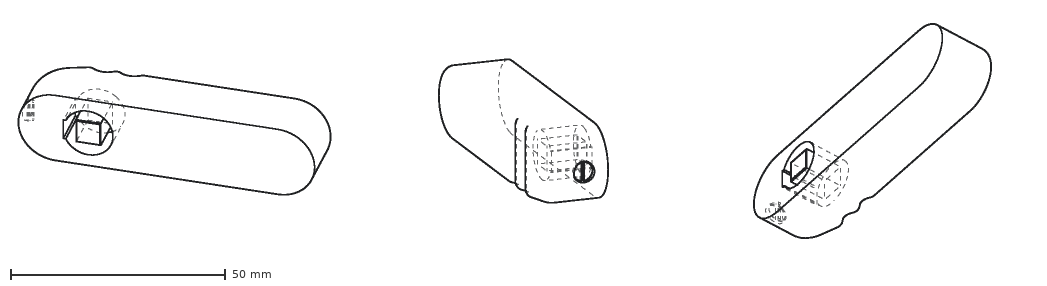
import cadquery as cq
import math

length = 72.0
depth = 15.5
height = 18.0
edge_radius = 2.0

first_crest_x = 13.3
crest_pitch = 6.55
scallop_count = 2
crest_radius = 2.05
scallop_radius = 3.5
slope_angle = math.radians(19.2)

socket_x = 17.0
socket_diameter = 12.0
socket_depth = 10.1
notch_left_x = 10.95
notch_height = 5.1
post_side = 6.05
post_chamfer = 0.2

screw_y = 6.0
screw_diameter = 5.1
screw_chamfer = 0.2
screw_hole_depth = 1.0
slot_width = 0.7
slot_depth = 1.0


def polar(center, radius, angle):
    """Point at the given angle (radians) on a circle."""
    return (center[0] + radius * math.cos(angle), center[1] + radius * math.sin(angle))


def back_profile():
    """XY outline with the sloped nose, scallops and flat back."""
    crest_y = depth - crest_radius
    crests = [(first_crest_x + i * crest_pitch, crest_y) for i in range(scallop_count + 1)]
    lean = math.acos(crest_pitch / 2 / (crest_radius + scallop_radius))
    up = math.pi / 2
    slope_end = polar(crests[0], crest_radius, up + slope_angle)
    nose_y = slope_end[1] - slope_end[0] * math.tan(slope_angle)

    outline = cq.Workplane("XY").moveTo(0, 0).lineTo(0, nose_y).lineTo(*slope_end)
    for left, right in zip(crests, crests[1:]):
        scallop_center = polar(left, crest_radius + scallop_radius, lean)
        outline = (
            outline
            .threePointArc(polar(left, crest_radius, up), polar(left, crest_radius, lean))
            .threePointArc(
                polar(scallop_center, scallop_radius, -up),
                polar(right, crest_radius, math.pi - lean),
            )
        )
    last = crests[-1]
    crest_middle = polar(last, crest_radius, (3 * up - lean) / 2)
    return (
        outline
        .threePointArc(crest_middle, polar(last, crest_radius, up))
        .lineTo(length, depth)
        .lineTo(length, 0)
        .close()
    )


def body():
    """Stadium-ended bar with its whole back edge rounded."""
    shaped = back_profile().extrude(height / 2, both=True)
    stadium = cq.Workplane("XZ").center(length / 2, 0).slot2D(length, height).extrude(-depth)
    bar = shaped.intersect(stadium)
    back_faces = [
        face for face in bar.faces().vals()
        if face.normalAt(face.Center()).y > math.sin(slope_angle)
    ]
    rim = [
        edge for edge in bar.edges().vals()
        if sum(any(edge.isSame(e) for e in face.Edges()) for face in back_faces) == 1
    ]
    return bar.newObject(rim).fillet(edge_radius)


def socket():
    """Round recess with a side notch, around a square drive post."""
    front = cq.Workplane("XZ").center(socket_x, 0)
    notch_width = socket_x - notch_left_x
    recess = front.circle(socket_diameter / 2).extrude(-socket_depth)
    notch = (
        front.center(-notch_width / 2, 0)
        .rect(notch_width, notch_height)
        .extrude(-socket_depth)
    )
    post = (
        front.rect(post_side, post_side)
        .extrude(-socket_depth)
        .faces("<Y").edges().chamfer(post_chamfer)
    )
    return recess.union(notch).cut(post)


def screw_recess():
    """Blind hole along X whose floor is a chamfered, slotted screw head."""
    axis = cq.Workplane("YZ").center(screw_y, 0)
    hole = axis.circle(screw_diameter / 2).extrude(screw_hole_depth + slot_depth)
    slot = axis.rect(slot_width, screw_diameter).extrude(screw_hole_depth + slot_depth)
    head = (
        axis.workplane(offset=screw_hole_depth)
        .circle(screw_diameter / 2)
        .extrude(slot_depth)
        .faces("<X").chamfer(screw_chamfer)
        .cut(slot)
    )
    return hole.cut(head)


result = body().cut(socket()).cut(screw_recess())